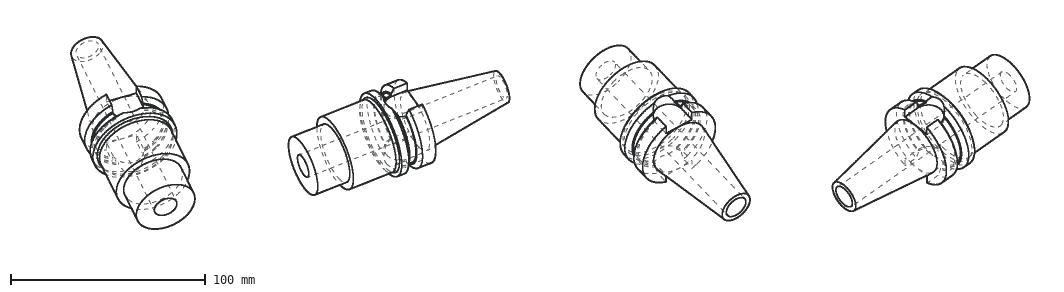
import cadquery as cq

total_length = 115.3
taper_end = 48.3
relief_end = 49.3
flange_start = 50.4
front_rim_end = 58.1
groove_start = 59.8
groove_end = 63.9
rear_rim_start = 66.1
flange_end = 70.2
body_start = 72.0
body_end = 96.7

taper_small_diameter = 17.6
taper_large_diameter = 31.7
relief_diameter = 31.9
flange_diameter = 46.0
groove_edge_diameter = 39.9
groove_diameter = 38.0
collar_diameter = 41.3
body_diameter = 40.1
nose_diameter = 32.2
bore_diameter = 12.3

slot_width = 16.4
slot_end = 67.3
slot_floor_height = 16.0


def make_holder():
    """Revolve the stepped outer profile about the X axis."""
    stations = [
        (0, taper_small_diameter),
        (taper_end, taper_large_diameter),
        (relief_end, relief_diameter),
        (flange_start, relief_diameter),
        (flange_start, flange_diameter),
        (front_rim_end, flange_diameter),
        (groove_start, groove_edge_diameter),
        (groove_start, groove_diameter),
        (groove_end, groove_diameter),
        (groove_end, groove_edge_diameter),
        (rear_rim_start, flange_diameter),
        (flange_end, flange_diameter),
        (flange_end, collar_diameter),
        (body_start, body_diameter),
        (body_end, body_diameter),
        (body_end, nose_diameter),
        (total_length, nose_diameter),
    ]
    outline = [(x, diameter / 2) for x, diameter in stations]
    profile = cq.Workplane("XY").polyline([(0, 0)] + outline + [(total_length, 0)]).close()
    return profile.revolve(360, (0, 0, 0), (1, 0, 0))


def make_slot():
    """Cutter for the upper drive slot: straight sides ending in a half circle."""
    half_width = slot_width / 2
    arc_start = slot_end - half_width
    return (
        cq.Workplane("XY", origin=(0, 0, slot_floor_height))
        .moveTo(flange_start, -half_width)
        .lineTo(arc_start, -half_width)
        .threePointArc((slot_end, 0), (arc_start, half_width))
        .lineTo(flange_start, half_width)
        .close()
        .extrude(flange_diameter / 2)
    )


upper_slot = make_slot()
lower_slot = upper_slot.mirror("XY")
bore = cq.Workplane("YZ").circle(bore_diameter / 2).extrude(total_length)

result = make_holder().cut(upper_slot).cut(lower_slot).cut(bore)